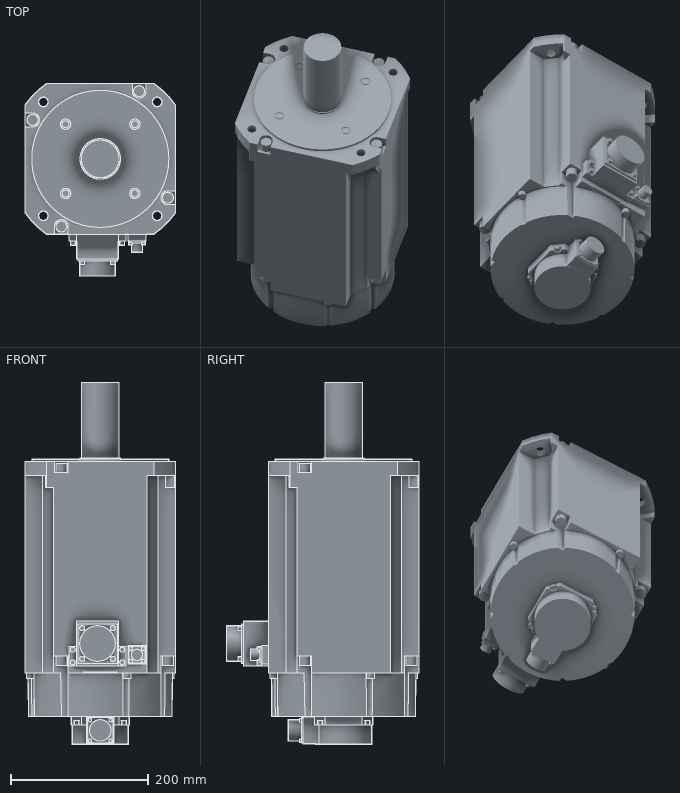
import cadquery as cq


flange_width = 220.0
half_width = flange_width / 2
flange_corner_radius = 135.0
flange_thickness = 20.5
pilot_radius = 100.0
pilot_height = 3.5
overall_height = 528.0
shaft_radius = 27.5
shaft_top = 115.5
shaft_collar_radius = 29.5
shaft_collar_height = 5.0
mount_hole_diameter = 13.5
mount_hole_offset = 83.0
cover_screw_offset = 50.5
cover_screw_radius = 5.0
cover_recess_radius = 7.5
cover_recess_depth = 1.0

body_bottom = -308.5
notch_edge = 68.0
notch_web = 84.0
wedge_bottom = -38.0
wedge_tip = 80.0
wedge_root = 95.5
wedge_tip_depth = 108.5

bolt_x = -56.7
bolt_y = -98.7
bolt_head_radius = 8.0
top_pocket_radius = 10.0
top_pocket_bottom = -16.0
top_bolt_top = -3.0
low_pocket_top = -284.0
low_bolt_bottom = -297.5
low_pocket_inner_x = -47.0
low_pocket_back_y = -88.5

relief_half_width = 24.2
relief_height = 1.3

ring_bottom = -372.0
ring_top_radius = 105.7
ring_bottom_radius = 105.0
ring_bolt_x = 38.8
ring_bolt_y = -102.0
ring_bolt_radius = 5.8
ring_bolt_height = 8.0
ring_groove_radius = 6.2

encoder_plate_half = 42.5
encoder_plate_corner = 15.5
encoder_plate_bottom = -384.5
encoder_screw_offset = 34.5
encoder_screw_radius = 3.0
encoder_recess_radius = 5.0
encoder_recess_top = -378.0
encoder_radius = 41.0
encoder_bottom = shaft_top - overall_height
encoder_box_top = -372.5
encoder_box_step = 0.6
encoder_box_bottom = encoder_bottom + encoder_box_step
encoder_box_half = 19.7
encoder_box_front = -59.0
encoder_cover_half = 18.5
encoder_cover_front = -61.6
encoder_plug_radius = 15.7
encoder_plug_front = -81.0
encoder_cover_screw_offset = 15.0
encoder_cover_screw_radius = 2.5
encoder_cover_screw_front = -64.5

power_x = -4.0
power_z = -265.5
power_half = 30.3
power_box_top = -233.0
power_box_bottom = -298.5
power_box_front = -146.2
power_cover_half = 28.8
power_cover_front = -149.0
power_plug_radius = 26.0
power_plug_front = -171.1
power_screw_offset = 22.4
power_screw_radius = 3.6
power_screw_front = -154.0
ear_half_span = 41.7
ear_top = -269.5
ear_front = -120.0
ear_screw_offset = 36.0
ear_screw_z = (-274.5, -293.0)
ear_screw_front = -126.2

brake_x = 53.6
brake_z = -282.0
brake_half = 13.4
brake_box_front = -119.5
brake_cover_half = 12.0
brake_cover_front = -122.0
brake_rib_half_width = 7.5
brake_rib_front = -122.6
brake_plug_radius = 8.3
brake_plug_front = -136.2
brake_screw_offset = 9.3
brake_screw_radius = 2.8
brake_screw_front = -125.5

SIGNS = (-1, 1)


def cylinder(x, y, radius, bottom, top):
    return cq.Workplane("XY", origin=(x, y, bottom)).circle(radius).extrude(top - bottom)


def block(x_min, x_max, y_min, y_max, z_min, z_max):
    size = (x_max - x_min, y_max - y_min, z_max - z_min)
    return cq.Workplane("XY", origin=(x_min, y_min, z_min)).box(*size, centered=False)


def forward_block(x, z, half, y_back, y_front):
    """Square block centred on (x, z), reaching toward -Y."""
    return block(x - half, x + half, y_front, y_back, z - half, z + half)


def forward_cylinder(x, z, radius, y_back, y_front):
    """Cylinder along Y centred on (x, z), reaching toward -Y."""
    return cq.Workplane("XZ", origin=(x, y_back, z)).circle(radius).extrude(y_back - y_front)


def four_sides(shape):
    """Repeat a shape on the four sides of the motor."""
    combined = shape
    for turn in (90, 180, 270):
        combined = combined.union(shape.rotate((0, 0, 0), (0, 0, 1), turn))
    return combined


def four_corners(offset):
    return [(sx * offset, sy * offset) for sx in SIGNS for sy in SIGNS]


def flange_prism(bottom, top):
    """Square flange outline whose corners are rounded by one large circle."""
    square = block(-half_width, half_width, -half_width, half_width, bottom, top)
    return square.intersect(cylinder(0, 0, flange_corner_radius, bottom, top))


def make_body():
    """Square body with a stepped notch, closed by a diagonal web, along each corner."""
    body = block(-half_width, half_width, -half_width, half_width, body_bottom, -flange_thickness)
    notch = (
        cq.Workplane("XY", origin=(0, 0, body_bottom))
        .polyline([
            (-half_width, -notch_edge),
            (-notch_web, -notch_edge),
            (-notch_edge, -notch_web),
            (-notch_edge, -half_width),
            (-half_width, -half_width),
        ])
        .close()
        .extrude(-flange_thickness - body_bottom)
    )
    relief = block(
        -relief_half_width, relief_half_width,
        -half_width, -ring_top_radius,
        body_bottom, body_bottom + relief_height,
    )
    return body.cut(four_sides(notch)).cut(relief)


def make_wedge():
    """Undercut wedge below the flange that backs up the frame bolt."""
    wedge = (
        cq.Workplane("XY", origin=(0, 0, wedge_bottom))
        .polyline([
            (-notch_edge, -half_width),
            (-wedge_tip, -half_width),
            (-wedge_tip, -wedge_tip_depth),
            (-notch_edge, -wedge_root),
        ])
        .close()
        .extrude(-flange_thickness - wedge_bottom)
    )
    return wedge.intersect(flange_prism(wedge_bottom, -flange_thickness))


def make_ring():
    return (
        cq.Workplane("XZ")
        .polyline([
            (0, ring_bottom),
            (ring_bottom_radius, ring_bottom),
            (ring_top_radius, body_bottom),
            (0, body_bottom),
        ])
        .close()
        .revolve(360, (0, 0, 0), (0, 1, 0))
    )


def make_top_pocket():
    pocket = cylinder(bolt_x, bolt_y, top_pocket_radius, top_pocket_bottom, 0)
    mouth = block(
        bolt_x - top_pocket_radius, bolt_x + top_pocket_radius, -half_width, bolt_y, top_pocket_bottom, 0
    )
    return pocket.union(mouth)


def make_low_pocket():
    """Pocket for the lower bolt head, open to the notch and running down through the ring."""
    return block(
        -notch_edge, low_pocket_inner_x, -half_width, low_pocket_back_y, ring_bottom, low_pocket_top
    )


def make_ring_bolt():
    return cylinder(
        ring_bolt_x, ring_bolt_y, ring_bolt_radius, body_bottom - ring_bolt_height, body_bottom
    )


def make_ring_groove():
    return cylinder(ring_bolt_x, ring_bolt_y, ring_groove_radius, ring_bottom, body_bottom)


def make_frame():
    """Flange, body and rear ring with all frame bolts."""
    frame = flange_prism(-flange_thickness, 0).union(make_body()).union(four_sides(make_wedge()))
    frame = frame.union(make_ring())
    frame = frame.cut(four_sides(make_top_pocket()))
    frame = frame.cut(four_sides(make_low_pocket()))
    frame = frame.cut(four_sides(make_ring_groove()))
    top_bolt = cylinder(bolt_x, bolt_y, bolt_head_radius, top_pocket_bottom, top_bolt_top)
    low_bolt = cylinder(bolt_x, bolt_y, bolt_head_radius, low_bolt_bottom, low_pocket_top)
    for bolt in (top_bolt, low_bolt, make_ring_bolt()):
        frame = frame.union(four_sides(bolt))
    for x, y in four_corners(mount_hole_offset):
        frame = frame.cut(cylinder(x, y, mount_hole_diameter / 2, -flange_thickness, 0))
    return frame


def make_shaft_end():
    """Pilot disc with cover screws, shaft collar and plain shaft."""
    pilot = cylinder(0, 0, pilot_radius, 0, pilot_height)
    for x, y in four_corners(cover_screw_offset):
        floor = pilot_height - cover_recess_depth
        recess = cylinder(x, y, cover_recess_radius, floor, pilot_height)
        screw = cylinder(x, y, cover_screw_radius, floor, pilot_height)
        pilot = pilot.cut(recess.cut(screw))
    collar = cylinder(0, 0, shaft_collar_radius, 0, shaft_collar_height)
    shaft = cylinder(0, 0, shaft_radius, 0, shaft_top)
    return pilot.union(collar).union(shaft)


def make_encoder():
    """Encoder housing under the ring with its forward-facing plug."""
    plate_size = 2 * encoder_plate_half
    plate = (
        cq.Workplane("XY", origin=(0, 0, encoder_plate_bottom))
        .rect(plate_size, plate_size)
        .extrude(ring_bottom - encoder_plate_bottom)
        .edges("|Z")
        .chamfer(encoder_plate_corner)
    )
    for x, y in four_corners(encoder_screw_offset):
        recess = cylinder(x, y, encoder_recess_radius, encoder_plate_bottom, encoder_recess_top)
        screw = cylinder(x, y, encoder_screw_radius, encoder_plate_bottom, encoder_recess_top)
        plate = plate.cut(recess).union(screw)
    encoder = plate.union(cylinder(0, 0, encoder_radius, encoder_bottom, ring_bottom))
    box = block(
        -encoder_box_half, encoder_box_half, encoder_box_front, 0, encoder_box_bottom, encoder_box_top
    )
    encoder = encoder.union(box)
    plug_z = (encoder_box_bottom + encoder_box_top) / 2
    cover = forward_block(0, plug_z, encoder_cover_half, encoder_box_front, encoder_cover_front)
    plug = forward_cylinder(0, plug_z, encoder_plug_radius, encoder_box_front, encoder_plug_front)
    encoder = encoder.union(cover).union(plug)
    for dx, dz in four_corners(encoder_cover_screw_offset):
        screw = forward_cylinder(
            dx, plug_z + dz, encoder_cover_screw_radius, encoder_box_front, encoder_cover_screw_front
        )
        encoder = encoder.union(screw)
    return encoder


def make_power_connector():
    box = block(
        power_x - power_half, power_x + power_half,
        power_box_front, -half_width,
        power_box_bottom, power_box_top,
    )
    ears = block(
        power_x - ear_half_span, power_x + ear_half_span,
        ear_front, -half_width,
        power_box_bottom, ear_top,
    )
    connector = box.union(ears)
    for side in SIGNS:
        for z in ear_screw_z:
            x = power_x + side * ear_screw_offset
            screw = forward_cylinder(x, z, power_screw_radius, ear_front, ear_screw_front)
            connector = connector.union(screw)
    cover = forward_block(power_x, power_z, power_cover_half, power_box_front, power_cover_front)
    plug = forward_cylinder(power_x, power_z, power_plug_radius, power_box_front, power_plug_front)
    connector = connector.union(cover).union(plug)
    for dx, dz in four_corners(power_screw_offset):
        screw = forward_cylinder(
            power_x + dx, power_z + dz, power_screw_radius, power_box_front, power_screw_front
        )
        connector = connector.union(screw)
    return connector


def make_brake_connector():
    box = forward_block(brake_x, brake_z, brake_half, -half_width, brake_box_front)
    cover = forward_block(brake_x, brake_z, brake_cover_half, brake_box_front, brake_cover_front)
    plug = forward_cylinder(brake_x, brake_z, brake_plug_radius, brake_box_front, brake_plug_front)
    rib = block(
        brake_x - brake_rib_half_width, brake_x + brake_rib_half_width,
        brake_rib_front, brake_box_front,
        brake_z - brake_cover_half, brake_z + brake_cover_half,
    )
    connector = box.union(cover).union(rib).union(plug)
    for dx, dz in four_corners(brake_screw_offset):
        screw = forward_cylinder(
            brake_x + dx, brake_z + dz, brake_screw_radius, brake_box_front, brake_screw_front
        )
        connector = connector.union(screw)
    return connector


motor = make_frame()
for section in (make_shaft_end(), make_encoder(), make_power_connector(), make_brake_connector()):
    motor = motor.union(section)
result = motor